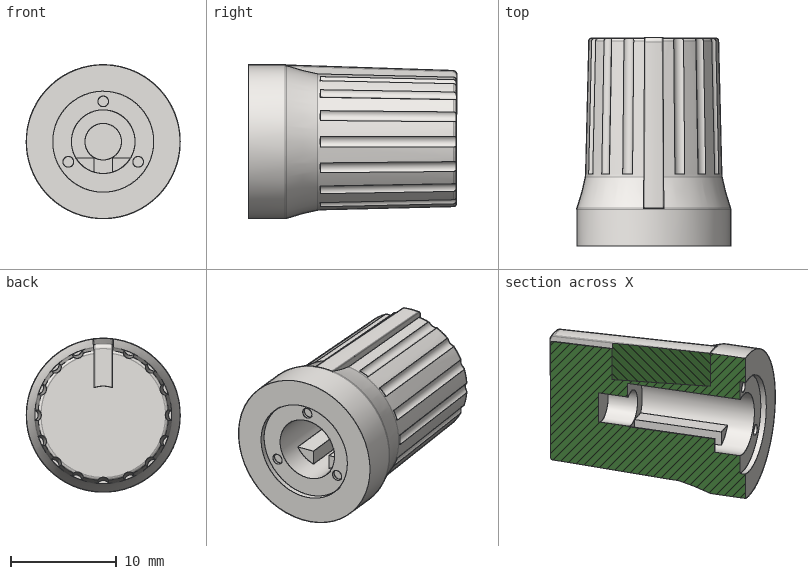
import cadquery as cq
import math


flange_diameter = 14.54
flange_height = 3.53
flange_rounding = 0.4
grip_start = 6.55
grip_start_radius = 6.46
grip_end = 19.62
grip_end_radius = 6.15
grip_end_fillet = 0.28
flare_sag = 0.05

flute_positions = 16
flute_start = 6.8
flute_width = 1.0
flute_radius = 0.6

recess_diameter = 9.53
recess_depth = 0.55
mark_count = 3
mark_diameter = 1.0
mark_circle_radius = 3.8
mark_depth = 0.3

bore_diameter = 6.0
bore_end = 11.82
pilot_diameter = 3.45
pilot_end = 14.78
key_start = 3.1
key_top = -1.52
key_slot_width = 1.73

pointer_start = 3.57
pointer_end = 19.7
pointer_base_radius = 7.25
pointer_end_radius = 6.72
pointer_base_inner_radius = 3.94
pointer_end_inner_radius = 2.74
pointer_base_width = 1.91
pointer_end_width = 1.73
pointer_end_fillet = 0.45
pointer_edge_fillet = 0.08

AXIS_START = (0, 0, 0)
AXIS_END = (0, 1, 0)


def y_cylinder(diameter, start, end, x=0, z=0):
    """Cylinder along Y between two heights."""
    plane = cq.Plane(origin=(x, start, z), xDir=(1, 0, 0), normal=(0, 1, 0))
    return cq.Workplane(plane).circle(diameter / 2).extrude(end - start)


def knob_outline():
    """Revolved flange, concave flare and tapered grip."""
    flange_radius = flange_diameter / 2
    rise = grip_start - flange_height
    run = flange_radius - grip_start_radius
    chord = math.hypot(rise, run)
    flare_middle = (
        (flange_radius + grip_start_radius) / 2 - flare_sag * rise / chord,
        (flange_height + grip_start) / 2 - flare_sag * run / chord,
    )
    outline = (
        cq.Workplane("XY")
        .lineTo(flange_radius, 0)
        .lineTo(flange_radius, flange_height)
        .threePointArc(flare_middle, (grip_start_radius, grip_start))
        .lineTo(grip_end_radius, grip_end)
        .lineTo(0, grip_end)
        .close()
        .revolve(360, AXIS_START, AXIS_END)
    )
    outline = outline.edges(cq.NearestToPointSelector((0, flange_height, 0))).fillet(flange_rounding)
    return outline.faces(">Y").edges().fillet(grip_end_fillet)


def flute_cutter():
    """Round bar lying parallel to the tapered grip on its -Z side."""
    half_width = flute_width / 2
    axis_offset = math.sqrt(flute_radius**2 - half_width**2)
    taper = (grip_start_radius - grip_end_radius) / (grip_end - grip_start)
    surface_radius = grip_start_radius - taper * (flute_start - grip_start)
    edge_radius = math.sqrt(surface_radius**2 - half_width**2)
    plane = cq.Plane(
        origin=(0, flute_start, -edge_radius - axis_offset),
        xDir=(1, 0, 0),
        normal=(0, 1, taper),
    )
    return cq.Workplane(plane).circle(flute_radius).extrude(pointer_end - flute_start)


def cut_flutes(body):
    """Cut every flute except the one whose place the pointer takes at +Z."""
    cutter = flute_cutter()
    step = 360 / flute_positions
    skipped = flute_positions // 2
    for position in range(flute_positions):
        if position != skipped:
            body = body.cut(cutter.rotate(AXIS_START, AXIS_END, position * step))
    return body


def cut_mounting_face(body):
    """Shallow round recess with a ring of small blind holes, one of them at +Z."""
    body = body.cut(y_cylinder(recess_diameter, 0, recess_depth))
    for index in range(mark_count):
        angle = math.radians(90 + index * 360 / mark_count)
        x = mark_circle_radius * math.cos(angle)
        z = mark_circle_radius * math.sin(angle)
        body = body.cut(y_cylinder(mark_diameter, recess_depth, recess_depth + mark_depth, x, z))
    return body


def shaft_key():
    """Flat that makes the bore D-shaped, split by a slot in the middle."""
    length = bore_end - key_start
    radius = bore_diameter / 2
    depth = radius + key_top
    middle = (0, key_start + length / 2, key_top - depth / 2)
    slab = cq.Workplane("XY").box(bore_diameter, length, depth).translate(middle)
    slot = cq.Workplane("XY").box(key_slot_width, length, depth).translate(middle)
    return slab.cut(slot).intersect(y_cylinder(bore_diameter, key_start, bore_end))


def cut_bore(body):
    """Keyed shaft bore with a narrower pilot hole at its end."""
    bore = y_cylinder(bore_diameter, 0, bore_end).cut(shaft_key())
    return body.cut(bore).cut(y_cylinder(pilot_diameter, bore_end, pilot_end))


def make_pointer():
    """Tapered strip along the +Z side, a sector of a revolved ring trimmed to a trapezoid."""
    ring = (
        cq.Workplane("XY")
        .moveTo(pointer_base_inner_radius, pointer_start)
        .lineTo(pointer_base_radius, pointer_start)
        .lineTo(pointer_end_radius, pointer_end)
        .lineTo(pointer_end_inner_radius, pointer_end)
        .close()
        .revolve(360, AXIS_START, AXIS_END)
    )
    half_base = pointer_base_width / 2
    half_end = pointer_end_width / 2
    plan = (
        cq.Workplane("XY")
        .moveTo(-half_base, pointer_start)
        .lineTo(half_base, pointer_start)
        .lineTo(half_end, pointer_end)
        .lineTo(-half_end, pointer_end)
        .close()
        .extrude(flange_diameter / 2)
    )
    pointer = ring.intersect(plan)
    pointer = pointer.faces(">Y").edges(">Z").fillet(pointer_end_fillet)
    return pointer.edges(">>Z[-2]").fillet(pointer_edge_fillet)


def make_knob(pointer):
    """Complete knob with a channel that the pointer fills."""
    body = cut_flutes(knob_outline())
    body = cut_mounting_face(body)
    body = cut_bore(body)
    return body.cut(pointer)


pointer = make_pointer()
knob = make_knob(pointer)
result = cq.Compound.makeCompound([knob.val(), pointer.val()])